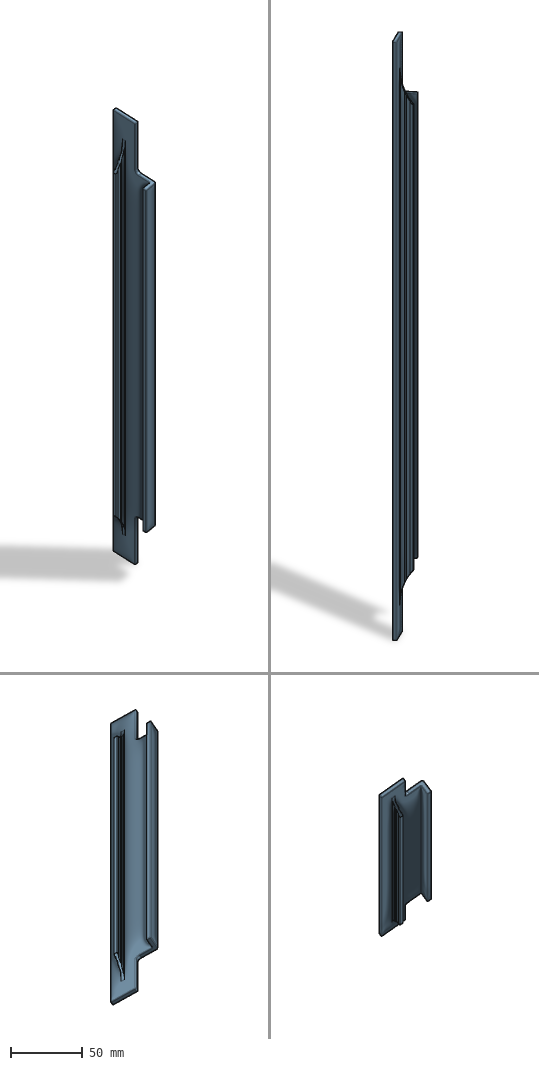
import cadquery as cq
import math

length = 445.0
width = 38.0
depth = 13.0

plate_thickness = 3.0
strip_width = 21.0
end_tab_length = 50.0
body_length = length - 2 * end_tab_length
inner_corner_radius = 3.0
end_corner_radius = 1.0
edge_round = 0.55

lip_thickness = 3.5
lip_depth = 10.5
lip_outer_radius = 2.0

fin_thickness = 2.5
fin_center_x = 10.2
fin_end_margin = 23.5
runout_radius = 40.0

groove_depth = 0.35
groove_width = 2.5
groove_distances = (4.0, 8.0)

plate_front = -plate_thickness
half_length = length / 2


def make_box(x_start, x_end, y_start, y_end, height):
    """Box between X and Y limits, centered on Z = 0."""
    box = cq.Workplane("XY").box(x_end - x_start, y_end - y_start, height, centered=(False, False, True))
    return box.translate((x_start, y_start, 0))


def make_plate_and_lip():
    """Plate with a folded lip, all of its outline edges slightly rounded."""
    strip = make_box(0, strip_width, plate_front, 0, length)
    strip = strip.edges("|Y").fillet(end_corner_radius)
    middle = make_box(strip_width / 2, width, plate_front, 0, body_length)
    lip = make_box(width - lip_thickness, width, -lip_depth, 0, body_length)
    middle = middle.union(lip).edges("|Z and >X and >Y").fillet(lip_outer_radius)
    body = strip.union(middle)
    for side in (-1, 1):
        corner = cq.selectors.BoxSelector(
            (strip_width - edge_round, -depth, side * body_length / 2 - edge_round),
            (strip_width + edge_round, depth, side * body_length / 2 + edge_round),
        )
        body = body.edges("|Y").edges(corner).fillet(inner_corner_radius)
    return body.edges().fillet(edge_round)


def make_fin():
    root_z = half_length - fin_end_margin
    rise = depth - plate_thickness
    angle = math.acos(1 - rise / runout_radius)
    mid_y = plate_front - runout_radius * (1 - math.cos(angle / 2))
    mid_z = root_z - runout_radius * math.sin(angle / 2)
    tip_z = root_z - runout_radius * math.sin(angle)
    root_y = -plate_thickness / 2
    fin = (
        cq.Workplane("YZ", origin=(fin_center_x, 0, 0))
        .moveTo(root_y, -root_z)
        .lineTo(plate_front, -root_z)
        .threePointArc((mid_y, -mid_z), (-depth, -tip_z))
        .lineTo(-depth, tip_z)
        .threePointArc((mid_y, mid_z), (plate_front, root_z))
        .lineTo(root_y, root_z)
        .close()
        .extrude(fin_thickness / 2, both=True)
    )
    for side in (-1, 1):
        face_x = fin_center_x + side * fin_thickness / 2
        for distance in groove_distances:
            groove = (
                cq.Workplane("XY")
                .box(2 * groove_depth, groove_width, length)
                .translate((face_x, -distance - groove_width / 2, 0))
            )
            fin = fin.cut(groove)
    return fin


result = make_plate_and_lip().union(make_fin())